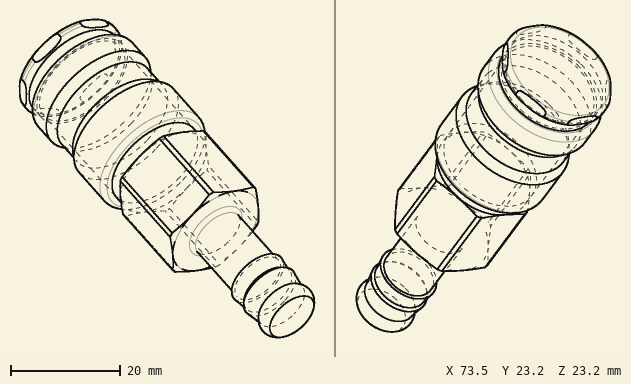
import cadquery as cq
import math


total_length = 73.5

collar_diameter = 22.0
collar_flats = 21.0
collar_width = 2.5
collar_fillet = 0.9

neck_diameter = 20.05
barrel_diameter = 18.95

sleeve_diameter = 23.15
sleeve_start = 5.0
sleeve_end = 28.75
sleeve_front_fillet = 1.2
sleeve_rear_fillet = 0.95
waist_diameter = 21.0
waist_start = 12.4
waist_end = 17.4
waist_slope_length = 2.0

hex_start = 31.5
hex_end = 48.6
hex_flats = 19.0
hex_corner_diameter = 21.4
hex_end_face_diameter = 18.95
hex_chamfer_angle = 18.0
hex_turn = 3.5

tail_diameter = 10.1
tail_root_fillet = 0.8
barb_diameter = 11.5
barb_start = 62.3
barb_small_diameter = 10.6
barb_end = 65.6
second_barb_start = 66.2
bead_start = 70.1
bead_start_diameter = 10.2
bead_end_diameter = 9.8
bead_diameter = 11.5


def revolve_about_x(outline):
    """Revolve an outline drawn as (x, radius) a full turn about the X axis."""
    return outline.close().revolve(360, (0, 0, 0), (1, 0, 0))


def disc(diameter, start, end):
    """Solid cylinder along X from start to end."""
    return cq.Workplane("YZ", origin=(start, 0, 0)).circle(diameter / 2).extrude(end - start)


def hex_prism(flats, start, end, turn):
    """Hexagonal bar along X with flats facing +Y and -Y, turned about X by an angle."""
    corner_radius = flats / 2 / math.cos(math.radians(30))
    corner_angles = [math.radians(30 + 60 * corner + turn) for corner in range(6)]
    corners = [(corner_radius * math.cos(angle), corner_radius * math.sin(angle)) for angle in corner_angles]
    return cq.Workplane("YZ", origin=(start, 0, 0)).polyline(corners).close().extrude(end - start)


def make_collar():
    ring = disc(collar_diameter, 0, collar_width).edges().fillet(collar_fillet)
    return ring.intersect(hex_prism(collar_flats, 0, collar_width, 0))


def make_hexagon():
    """Hexagon with turned corners and both ends chamfered."""
    face_radius = hex_end_face_diameter / 2
    corner_radius = hex_corner_diameter / 2
    chamfer_length = (corner_radius - face_radius) * math.tan(math.radians(hex_chamfer_angle))
    envelope = revolve_about_x(
        cq.Workplane("XY")
        .moveTo(hex_start, 0)
        .lineTo(hex_start, face_radius)
        .lineTo(hex_start + chamfer_length, corner_radius)
        .lineTo(hex_end - chamfer_length, corner_radius)
        .lineTo(hex_end, face_radius)
        .lineTo(hex_end, 0)
    )
    return hex_prism(hex_flats, hex_start, hex_end, hex_turn).intersect(envelope)


def make_hose_tail():
    """Plain stem with a filleted root, two barbs and a rounded end bead."""
    stem_radius = tail_diameter / 2
    barb_radius = barb_diameter / 2
    barb_small_radius = barb_small_diameter / 2
    root_middle = tail_root_fillet * (1 - math.sqrt(0.5))
    return revolve_about_x(
        cq.Workplane("XY")
        .moveTo(hex_end, 0)
        .lineTo(hex_end, stem_radius + tail_root_fillet)
        .threePointArc(
            (hex_end + root_middle, stem_radius + root_middle),
            (hex_end + tail_root_fillet, stem_radius),
        )
        .lineTo(barb_start, stem_radius)
        .lineTo(barb_start, barb_radius)
        .lineTo(barb_end, barb_small_radius)
        .lineTo(second_barb_start, barb_radius)
        .lineTo(bead_start, bead_start_diameter / 2)
        .threePointArc(
            ((bead_start + total_length) / 2, bead_diameter / 2),
            (total_length, bead_end_diameter / 2),
        )
        .lineTo(total_length, 0)
    )


def make_body():
    """Collar, neck, barrel, hexagon and hose tail in one piece."""
    neck = disc(neck_diameter, collar_width, sleeve_start)
    barrel = disc(barrel_diameter, sleeve_start, hex_start)
    return make_collar().union(neck).union(barrel).union(make_hexagon()).union(make_hose_tail())


def make_sleeve():
    """Waisted sleeve sitting on the barrel, its front face against the neck."""
    outer = sleeve_diameter / 2
    waist = waist_diameter / 2
    bore = barrel_diameter / 2
    sleeve = revolve_about_x(
        cq.Workplane("XY")
        .moveTo(sleeve_start, bore)
        .lineTo(sleeve_start, outer)
        .lineTo(waist_start - waist_slope_length, outer)
        .lineTo(waist_start, waist)
        .lineTo(waist_end, waist)
        .lineTo(waist_end + waist_slope_length, outer)
        .lineTo(sleeve_end, outer)
        .lineTo(sleeve_end, bore)
    )
    sleeve = sleeve.faces("<X").edges(cq.selectors.RadiusNthSelector(-1)).fillet(sleeve_front_fillet)
    return sleeve.faces(">X").edges(cq.selectors.RadiusNthSelector(-1)).fillet(sleeve_rear_fillet)


body = make_body()
sleeve = make_sleeve()
result = cq.Compound.makeCompound([body.val(), sleeve.val()])